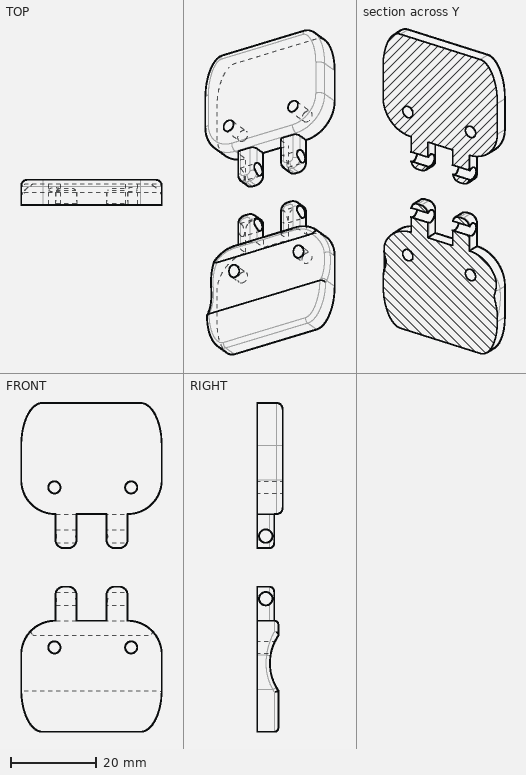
import cadquery as cq


pad_width = 33.1
total_height = 77.33
pad_gap = 9.0

tab_length = 8.0
tab_width = 5.0
tab_thickness = 4.0
tab_outer_x = 8.5
tab_corner_radius = 2.0
tab_edge_radius = 1.2
pin_hole_diameter = 3.1
pin_hole_from_tip = 2.85

far_corner_width = 5.05
far_corner_height = 10.0
half_width = pad_width / 2
near_corner_radius = half_width - tab_outer_x

plate_hole_diameter = 2.8
plate_hole_spacing = 18.05
plate_hole_center_x = 0.3
plate_hole_from_base = 6.3

upper_thickness = 6.0
upper_edge_radius = 1.5
lower_thickness = 5.0
lower_edge_radius = 1.0
groove_half_width = 6.5
groove_depth = 2.0
groove_from_base = 10.0

tip_z = pad_gap / 2
base_z = tip_z + tab_length
top_z = total_height / 2
tab_center_x = tab_outer_x - tab_width / 2
tab_overlap = 3.0


def plate_blank(thickness):
    """Flat plate standing on base_z, without edge rounding."""
    near_z = base_z + near_corner_radius
    far_z = top_z - far_corner_height
    flat_x = half_width - far_corner_width
    return (
        cq.Workplane("XZ")
        .moveTo(-tab_outer_x, base_z)
        .lineTo(tab_outer_x, base_z)
        .radiusArc((half_width, near_z), -near_corner_radius)
        .lineTo(half_width, far_z)
        .ellipseArc(far_corner_width, far_corner_height, 0, 90)
        .lineTo(-flat_x, top_z)
        .ellipseArc(far_corner_width, far_corner_height, 90, 180)
        .lineTo(-half_width, near_z)
        .radiusArc((-tab_outer_x, base_z), -near_corner_radius)
        .close()
        .extrude(-thickness)
    )


def groove_cutter(thickness):
    """Cylinder along X that leaves a shallow groove in the back of a plate."""
    radius = (groove_half_width**2 + groove_depth**2) / (2 * groove_depth)
    axis_y = thickness - groove_depth + radius
    return (
        cq.Workplane("YZ", origin=(-pad_width, axis_y, base_z + groove_from_base))
        .circle(radius)
        .extrude(2 * pad_width)
    )


def tab(center_x):
    """Tab with a rounded tip that reaches a little way into the plate."""
    length = tab_length + tab_overlap
    return (
        cq.Workplane("XY", origin=(center_x, 0, tip_z))
        .box(tab_width, tab_thickness, length, centered=(True, False, False))
        .edges("|Y and <Z")
        .fillet(tab_corner_radius)
        .faces(">Y")
        .edges("not >Z")
        .fillet(tab_edge_radius)
    )


def add_tabs_and_holes(plate):
    """Join both tabs to a plate and drill the pin holes and plate holes."""
    pad = plate
    for side in (-1, 1):
        pad = pad.union(tab(side * tab_center_x))
    pin_hole = (
        cq.Workplane("YZ", origin=(-half_width, tab_thickness / 2, tip_z + pin_hole_from_tip))
        .circle(pin_hole_diameter / 2)
        .extrude(pad_width)
    )
    plate_holes = (
        cq.Workplane("XZ", origin=(plate_hole_center_x, 0, base_z + plate_hole_from_base))
        .rarray(plate_hole_spacing, 1, 2, 1)
        .circle(plate_hole_diameter / 2)
        .extrude(-upper_thickness)
    )
    return pad.cut(pin_hole).cut(plate_holes)


upper_plate = plate_blank(upper_thickness).faces(">Y").edges().fillet(upper_edge_radius)
upper_pad = add_tabs_and_holes(upper_plate)

def is_back_outer_edge(edge):
    """True for the outer edges of the grooved back, false for the straight groove lips."""
    center = edge.Center()
    on_back = center.y > lower_thickness - groove_depth
    is_end_edge = min(center.z - base_z, top_z - center.z) < lower_edge_radius
    is_straight_across = edge.geomType() == "LINE"
    return on_back and (is_end_edge or not is_straight_across)


lower_plate = (
    plate_blank(lower_thickness)
    .cut(groove_cutter(lower_thickness))
    .edges()
    .filter(is_back_outer_edge)
    .fillet(lower_edge_radius)
)
lower_pad = add_tabs_and_holes(lower_plate).mirror("XY")

result = cq.Compound.makeCompound([upper_pad.val(), lower_pad.val()])